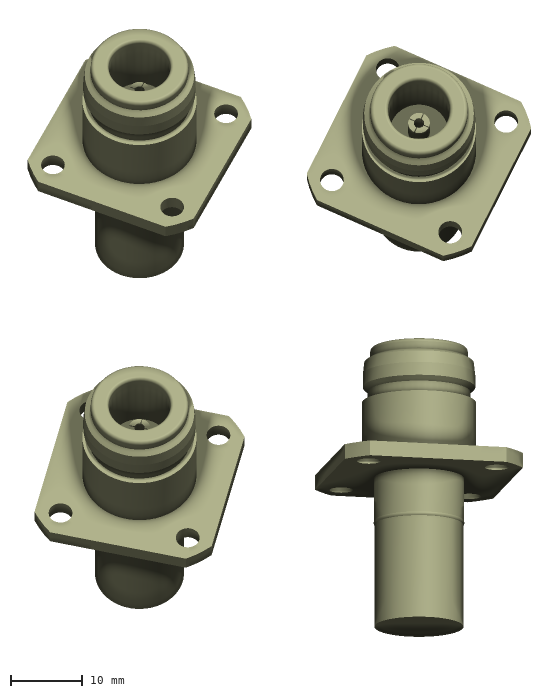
import cadquery as cq

total_height = 39.8
flange_width = 25.4
flange_corner_radius = 16.0
flange_top = total_height - 16.5
flange_bottom = total_height - 18.63
mount_hole_offset = 9.1
mount_hole_diameter = 3.3

tail_radius = 6.2
collar_radius = 6.3
collar_bottom = 14.53
collar_round_height = 0.5

barrel_radius = 7.95
barrel_top = 32.0
neck_radius = 7.15
neck_top = 33.55
band_radius = 7.85
band_bottom = 34.23
band_top = 36.05
band_shoulder_radius = 7.65
band_shoulder_height = 37.77
lip_radius = 6.8
lip_bottom = 38.33
lip_round = 0.5

socket_radius = 4.3
socket_floor_radius = 4.1
socket_floor = 30.65
mouth_round = 0.48

contact_radius = 1.5
contact_hole_radius = 0.7
contact_top = 34.23
contact_slot_width = 0.1


def make_barrel():
    """Stepped body of revolution, including the rounded lip and collar."""
    profile = (
        cq.Workplane("XZ")
        .lineTo(tail_radius, 0)
        .lineTo(tail_radius, collar_bottom)
        .radiusArc((collar_radius, collar_bottom + collar_round_height), -collar_round_height)
        .lineTo(collar_radius, flange_bottom)
        .lineTo(barrel_radius, flange_bottom)
        .lineTo(barrel_radius, barrel_top)
        .lineTo(neck_radius, barrel_top)
        .lineTo(neck_radius, neck_top)
        .lineTo(band_radius, band_bottom)
        .lineTo(band_radius, band_top)
        .lineTo(band_shoulder_radius, band_shoulder_height)
        .lineTo(lip_radius, lip_bottom)
        .lineTo(lip_radius, total_height - lip_round)
        .radiusArc((lip_radius - lip_round, total_height), -lip_round)
        .lineTo(0, total_height)
        .close()
    )
    return profile.revolve(360, (0, 0), (0, 1))


def make_flange():
    """Square plate with arc corners centred on the axis and four mounting holes."""
    thickness = flange_top - flange_bottom
    base = cq.Workplane("XY").workplane(offset=flange_bottom)
    corner_disc = base.circle(flange_corner_radius).extrude(thickness)
    plate = base.rect(flange_width, flange_width).extrude(thickness)
    hole_spacing = 2 * mount_hole_offset
    return (
        plate.intersect(corner_disc)
        .faces(">Z")
        .workplane()
        .rarray(hole_spacing, hole_spacing, 2, 2)
        .hole(mount_hole_diameter)
    )


def make_socket():
    """Round-mouthed cavity that narrows towards its flat floor."""
    profile = (
        cq.Workplane("XZ")
        .moveTo(0, socket_floor)
        .lineTo(socket_floor_radius, socket_floor)
        .lineTo(socket_radius, total_height - mouth_round)
        .radiusArc((socket_radius + mouth_round, total_height), mouth_round)
        .lineTo(0, total_height)
        .close()
    )
    return profile.revolve(360, (0, 0), (0, 1))


def make_contact():
    """Hollow centre contact split by two crossed slots."""
    height = contact_top - socket_floor
    base = cq.Workplane("XY").workplane(offset=socket_floor)
    contact = base.circle(contact_radius).circle(contact_hole_radius).extrude(height)
    for angle in (0, 90):
        slot = base.rect(2 * contact_radius, contact_slot_width).extrude(height)
        contact = contact.cut(slot.rotate((0, 0, 0), (0, 0, 1), angle))
    return contact


result = make_barrel().union(make_flange()).cut(make_socket()).union(make_contact())